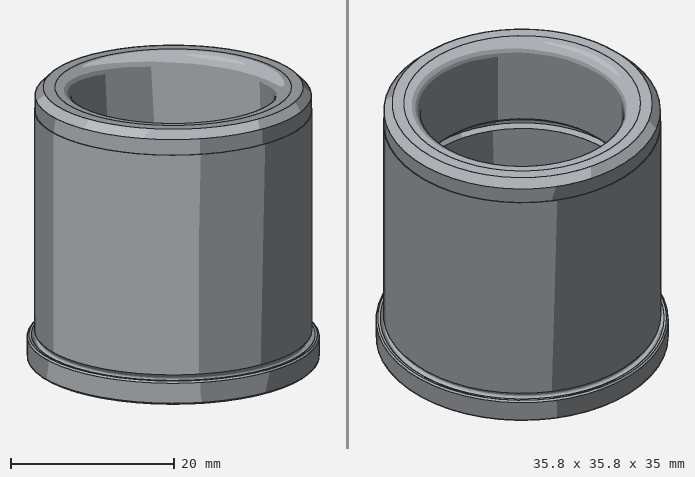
import cadquery as cq
import math

total_height = 35.0
flange_radius = 17.9
flange_height = 3.0
flange_chamfer = 0.2

body_radius = 17.0
lead_radius = 16.95
lead_height = 3.0
lead_chamfer = 1.0
body_bottom = 3.58

groove_mouth_radius = 17.4
groove_body_side_run = 0.45

seat_radius = 14.5
seat_depth = 13.0
seat_chamfer = 0.5
bore_radius = 12.5
liner_length = 11.5
mouth_fillet = 1.5
liner_chamfer = 0.5


def arc_middle(upper, lower):
    """Deepest point of the half-round that joins the two groove sides."""
    center_radius = (upper[0] + lower[0]) / 2
    center_height = (upper[1] + lower[1]) / 2
    reach = math.hypot(upper[0] - lower[0], upper[1] - lower[1]) / 2 * math.sqrt(0.5)
    return (center_radius - reach, center_height - reach)


def make_sleeve():
    """Flanged sleeve: one half-section revolved about Z."""
    lead_bottom = total_height - lead_height
    seat_level = total_height - seat_depth
    clearance_radius = seat_radius - seat_chamfer

    mouth_width = body_bottom - flange_height + groove_mouth_radius - body_radius
    across = mouth_width / 2
    groove_upper = (body_radius - groove_body_side_run, body_bottom - groove_body_side_run)
    groove_lower = (groove_upper[0] + across, groove_upper[1] - across)
    groove_deepest = arc_middle(groove_upper, groove_lower)

    section = (
        cq.Workplane("XZ")
        .moveTo(clearance_radius, 0)
        .lineTo(flange_radius - flange_chamfer, 0)
        .lineTo(flange_radius, flange_chamfer)
        .lineTo(flange_radius, flange_height - flange_chamfer)
        .lineTo(flange_radius - flange_chamfer, flange_height)
        .lineTo(groove_mouth_radius, flange_height)
        .lineTo(*groove_lower)
        .threePointArc(groove_deepest, groove_upper)
        .lineTo(body_radius, body_bottom)
        .lineTo(body_radius, lead_bottom)
        .lineTo(lead_radius, lead_bottom)
        .lineTo(lead_radius, total_height - lead_chamfer)
        .lineTo(lead_radius - lead_chamfer, total_height)
        .lineTo(seat_radius, total_height)
        .lineTo(seat_radius, seat_level)
        .lineTo(clearance_radius, seat_level - seat_chamfer)
        .close()
    )
    return section.revolve(360, (0, 0, 0), (0, 1, 0))


def make_liner():
    """Bearing liner in the seat, with a rounded mouth and a chamfered lower end."""
    liner = (
        cq.Workplane("XY", origin=(0, 0, total_height - liner_length))
        .circle(seat_radius)
        .circle(bore_radius)
        .extrude(liner_length)
    )
    bore_edge = cq.selectors.RadiusNthSelector(0)
    liner = liner.faces(">Z").edges(bore_edge).fillet(mouth_fillet)
    return liner.faces("<Z").edges(bore_edge).chamfer(liner_chamfer)


sleeve = make_sleeve()
liner = make_liner()

result = cq.Compound.makeCompound([sleeve.val(), liner.val()])